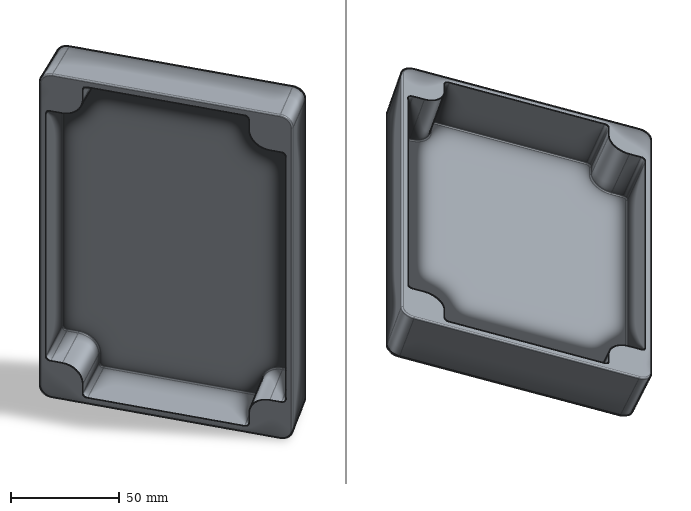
import cadquery as cq
import math

width = 122.2
height = 187.1
depth = 26.0
outer_draft = 2.5
outer_corner_radius = 6.2
back_edge_chamfer = 1.5
rim_edge_fillet = 0.7

side_wall = 3.2
end_wall = 3.7
back_wall = 2.0
cavity_draft = 2.0
floor_fillet = 0.7
cavity_corner_radius = 2.2

post_width = 21.0
post_height = 21.3
post_radius = 10.0


def tapered_block(size_x, size_z, length, draft, corner_radius):
    """Block from the rim plane towards +Y, narrowing by the draft angle, with rounded corners."""
    rim = cq.Workplane("XZ", origin=(0, -depth / 2, 0))
    block = rim.rect(size_x, size_z).extrude(-length, taper=draft)
    return block.edges("not #Y").fillet(corner_radius)


def make_body():
    """Drafted solid block with a chamfered back edge and a rounded rim edge."""
    rim_flare = 2 * rim_edge_fillet * math.tan(math.radians(outer_draft))
    block = tapered_block(
        width + rim_flare, height + rim_flare, depth, outer_draft, outer_corner_radius
    )
    block = block.faces(">Y").edges().chamfer(back_edge_chamfer)
    return block.faces("<Y").edges().fillet(rim_edge_fillet)


def make_cavity():
    """Cross-shaped drafted pocket that leaves a rounded post in each corner."""
    cavity_depth = depth - back_wall
    wide_x = width - 2 * side_wall
    wide_z = height - 2 * post_height
    tall_x = width - 2 * post_width
    tall_z = height - 2 * end_wall
    wide_part = tapered_block(wide_x, wide_z, cavity_depth, cavity_draft, cavity_corner_radius)
    tall_part = tapered_block(tall_x, tall_z, cavity_depth, cavity_draft, cavity_corner_radius)

    crossing = cq.selectors.BoxSelector(
        (-tall_x / 2, -depth / 2, -wide_z / 2), (tall_x / 2, depth / 2, wide_z / 2)
    )
    pocket = wide_part.union(tall_part).edges("not #Y").edges(crossing).fillet(post_radius)
    return pocket.faces(">Y").edges().fillet(floor_fillet)


result = make_body().cut(make_cavity())